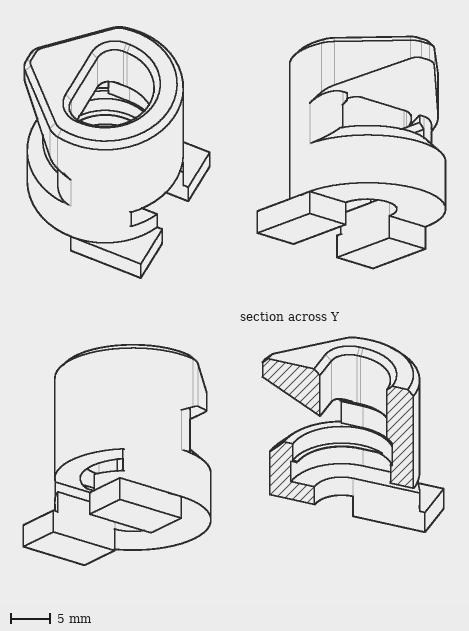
import cadquery as cq
import math

body_radius = 10.0
body_height = 20.5
top_chamfer = 0.8

nose_reach = 11.0
nose_tip_half_width = 1.5
nose_tip_fillet = 2.0
nose_flank_fillet = 3.0

slope_foot_z = 12.0
slope_rise_per_mm = 0.5

collar_height = 8.5
collar_chamfer = 2.0

column_front_x = -3.0
column_fillet = 3.0

eye_radius = 6.25
eye_fillet = 2.5
throat_radius = 7.0
throat_top_z = 12.5
throat_chamfer = throat_radius - eye_radius

collar_bore_radius = 6.75
lip_half_width = 6.0
lip_thickness = 0.25
head_slot_half_width = throat_radius
head_slot_bottom_z = 2.75
head_slot_top_z = 5.75
lip_top_z = head_slot_top_z + lip_thickness
neck_slot_half_width = 3.75

foot_height = 3.0

clear = 2.0 * body_radius


def cylinder(radius, z_bottom, z_top):
    return cq.Workplane("XY").workplane(offset=z_bottom).circle(radius).extrude(z_top - z_bottom)


def round_ended_slot(half_width, z_bottom, z_top, direction):
    """Slot rounded about the Z axis and running out along +X (1) or -X (-1)."""
    height = z_top - z_bottom
    run = (
        cq.Workplane("XY", origin=(direction * clear / 2, 0, z_bottom))
        .rect(clear, 2 * half_width)
        .extrude(height)
    )
    return cylinder(half_width, z_bottom, z_top).union(run)


def make_post_with_nose():
    flank_offset = nose_reach + nose_tip_half_width
    half_chord = math.sqrt(2 * body_radius**2 - flank_offset**2) / 2
    flank_end_x = half_chord - flank_offset / 2
    flank_end_y = half_chord + flank_offset / 2
    post = (
        cq.Workplane("XY")
        .moveTo(-nose_reach, -nose_tip_half_width)
        .lineTo(flank_end_x, -flank_end_y)
        .threePointArc((body_radius, 0), (flank_end_x, flank_end_y))
        .lineTo(-nose_reach, nose_tip_half_width)
        .close()
        .extrude(body_height)
    )
    tip_limit_x = (flank_end_x - nose_reach) / 2
    tip_edges = cq.selectors.BoxSelector((-clear, -clear, 0), (tip_limit_x, clear, body_height))
    flank_edges = cq.selectors.BoxSelector((tip_limit_x, -clear, 0), (0, clear, body_height))
    post = post.edges("|Z").edges(tip_edges).fillet(nose_tip_fillet)
    return post.edges("|Z").edges(flank_edges).fillet(nose_flank_fillet)


def make_space_under_slope():
    """Everything in front of X = 0 that lies below the underside of the nose."""
    return (
        cq.Workplane("XZ")
        .moveTo(0, 0)
        .lineTo(0, slope_foot_z)
        .lineTo(-clear, slope_foot_z + slope_rise_per_mm * clear)
        .lineTo(-clear, 0)
        .close()
        .extrude(clear, both=True)
    )


def make_column():
    """Block with rounded front corners that stays below the nose."""
    column_length = body_radius - column_front_x
    return (
        cq.Workplane("XY", origin=(column_front_x + column_length / 2, 0, 0))
        .rect(column_length, 2 * body_radius)
        .extrude(body_height)
        .edges("|Z and <X")
        .fillet(column_fillet)
    )


def make_collar():
    return cylinder(body_radius, 0, collar_height).faces(">Z").chamfer(collar_chamfer)


def make_eye():
    """D-shaped opening with rounded corners."""
    corner_x = column_front_x + eye_fillet
    corner_y = eye_radius - eye_fillet
    bend = eye_fillet * math.sqrt(0.5)
    return (
        cq.Workplane("XY", origin=(0, 0, collar_height))
        .moveTo(0, -eye_radius)
        .threePointArc((eye_radius, 0), (0, eye_radius))
        .lineTo(corner_x, eye_radius)
        .threePointArc((corner_x - bend, corner_y + bend), (column_front_x, corner_y))
        .lineTo(column_front_x, -corner_y)
        .threePointArc((corner_x - bend, -corner_y - bend), (corner_x, -eye_radius))
        .close()
        .extrude(body_height - collar_height)
    )


def make_throat():
    """U-shaped passage between collar and nose, open towards -X."""
    wide = round_ended_slot(throat_radius, collar_height, throat_top_z, -1)
    wide = wide.faces(">Z").edges().chamfer(throat_chamfer)
    narrow = round_ended_slot(eye_radius, collar_height, body_height, -1)
    return wide.union(narrow.intersect(make_space_under_slope()))


def make_bolt_cavity():
    """Bore from the collar top, leading between two thin lips into a T-slot that opens towards +X."""
    bore = cylinder(collar_bore_radius, lip_top_z, collar_height)
    lip_foot_half_width = lip_half_width + lip_thickness
    lip_hole = round_ended_slot(lip_foot_half_width, head_slot_bottom_z, lip_top_z, 1)
    lip_hole = lip_hole.faces(">Z").edges().chamfer(lip_thickness)
    lip_hole = lip_hole.intersect(cylinder(collar_bore_radius, head_slot_bottom_z, lip_top_z))
    head_slot = round_ended_slot(head_slot_half_width, head_slot_bottom_z, head_slot_top_z, 1)
    neck_slot = round_ended_slot(neck_slot_half_width, 0, head_slot_bottom_z, 1)
    return bore.union(lip_hole).union(head_slot).union(neck_slot)


def make_foot(side):
    """Foot on the +Y (1) or -Y (-1) side of the T-slot."""
    foot_width = body_radius - neck_slot_half_width
    foot_y = side * (neck_slot_half_width + foot_width / 2)
    return (
        cq.Workplane("XY", origin=(body_radius / 2, foot_y, -foot_height))
        .rect(body_radius, foot_width)
        .extrude(foot_height)
    )


result = make_post_with_nose().cut(make_eye())
result = result.faces(">Z").edges().chamfer(top_chamfer)

result = result.cut(make_space_under_slope().cut(make_column()))
result = result.cut(make_throat())
result = result.union(make_collar())

result = result.cut(make_bolt_cavity())
for side in (1, -1):
    result = result.union(make_foot(side))